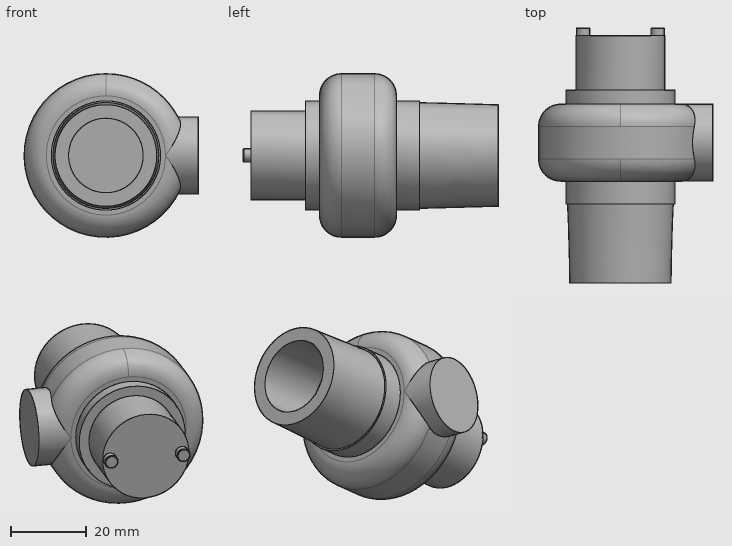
import cadquery as cq

CASING_DIAMETER = 43.15
CASING_WIDTH = 20.3
CASING_ROUNDING = 5.85

OUTLET_DIAMETER = CASING_WIDTH
OUTLET_REACH = 46.0 - CASING_DIAMETER / 2

COLLAR_DIAMETER = 28.8
FRONT_COLLAR_LENGTH = 6.05
REAR_COLLAR_LENGTH = 3.7

INLET_LENGTH = 20.8
INLET_BASE_DIAMETER = 27.9
INLET_END_DIAMETER = 26.8
INLET_BORE_DIAMETER = 19.65

MOTOR_DIAMETER = 23.5
MOTOR_LENGTH = 14.35
PIN_DIAMETER = 3.6
PIN_LENGTH = 2.1
PIN_SPACING = 19.65
PIN_CHAMFER = 0.2

casing_front = -CASING_WIDTH / 2
casing_rear = CASING_WIDTH / 2
inlet_base = casing_front - FRONT_COLLAR_LENGTH
inlet_end = inlet_base - INLET_LENGTH
motor_base = casing_rear + REAR_COLLAR_LENGTH
motor_end = motor_base + MOTOR_LENGTH


def cylinder_along_y(diameter, start, end, x=0):
    """Cylinder parallel to Y, from start to end."""
    axis_point = cq.Vector(x, start, 0)
    solid = cq.Solid.makeCylinder(diameter / 2, end - start, axis_point, cq.Vector(0, 1, 0))
    return cq.Workplane(obj=solid)


def make_casing():
    """Drum with both rims rounded."""
    drum = cylinder_along_y(CASING_DIAMETER, casing_front, casing_rear)
    return drum.faces("<Y or >Y").edges().fillet(CASING_ROUNDING)


def make_outlet():
    """Radial spigot from the pump axis towards +X."""
    return cq.Workplane("YZ").circle(OUTLET_DIAMETER / 2).extrude(OUTLET_REACH)


def make_inlet():
    """Spigot tapering from the front collar to its open end."""
    spigot = cq.Solid.makeCone(
        INLET_BASE_DIAMETER / 2,
        INLET_END_DIAMETER / 2,
        INLET_LENGTH,
        cq.Vector(0, inlet_base, 0),
        cq.Vector(0, -1, 0),
    )
    return cq.Workplane(obj=spigot)


def make_pin(x):
    """Terminal pin on the rear face of the motor."""
    pin = cylinder_along_y(PIN_DIAMETER, motor_end, motor_end + PIN_LENGTH, x)
    return pin.faces(">Y").edges().chamfer(PIN_CHAMFER)


collars = cylinder_along_y(COLLAR_DIAMETER, inlet_base, motor_base)
motor = cylinder_along_y(MOTOR_DIAMETER, motor_base, motor_end)
inlet_bore = cylinder_along_y(INLET_BORE_DIAMETER, inlet_end, inlet_base)

result = make_casing().union(make_outlet()).union(collars).union(make_inlet()).union(motor)
for side in (-1, 1):
    result = result.union(make_pin(side * PIN_SPACING / 2))
result = result.cut(inlet_bore)